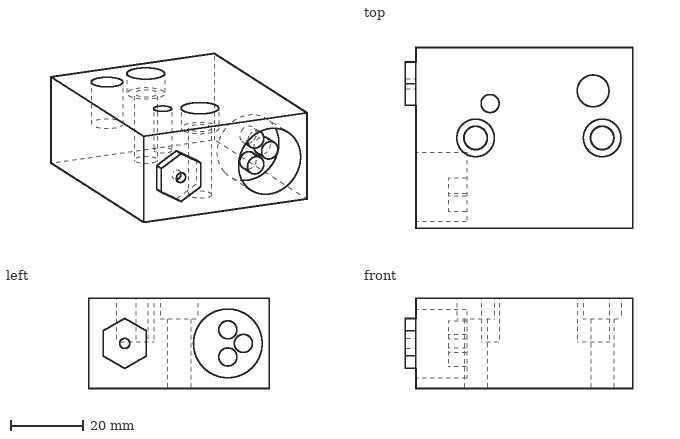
import cadquery as cq
import math

block_length = 60.0
block_width = 50.0
block_height = 25.0

plug_across_flats = 12.0
plug_thickness = 3.0
plug_y = 15.0
plug_hole_diameter = 2.8

socket_diameter = 19.0
socket_depth = 14.0
socket_y = -13.5
pin_diameter = 5.0
pin_length = 5.0
pin_pair_spacing = 7.5
side_pin_offset = 4.3

mount_count = 2
mount_spacing = 35.0
mount_first_x = 16.5
mount_diameter = 6.4
counterbore_diameter = 10.4
counterbore_depth = 5.7

port_depth = 12.0
small_port_diameter = 5.0
small_port_center = (20.5, 9.5)
large_port_diameter = 8.8
large_port_center = (49.0, 13.0)


def rod_along_x(diameter, start_x, length, y, z=0.0):
    """Cylinder running in +X from start_x."""
    return cq.Workplane("YZ", origin=(start_x, y, z)).circle(diameter / 2).extrude(length)


def rod_down_from_top(diameter, depth, center):
    """Cylinder running down from the top face, centred at an (x, y) point."""
    x, y = center
    return cq.Workplane("XY", origin=(x, y, block_height / 2)).circle(diameter / 2).extrude(-depth)


def add_plug(body):
    """Hexagon with corners pointing up and down, and a small hole in its middle."""
    across_corners = plug_across_flats / math.cos(math.radians(30))
    plug = (
        cq.Workplane("YZ", origin=(-plug_thickness, plug_y, 0))
        .transformed(rotate=(0, 0, 90))
        .polygon(6, across_corners)
        .extrude(plug_thickness)
    )
    hole = rod_along_x(plug_hole_diameter, -plug_thickness, plug_thickness, plug_y)
    return body.union(plug).cut(hole)


def add_socket(body):
    """Round blind socket with a pin above, below and to the -Y side of its axis."""
    body = body.cut(rod_along_x(socket_diameter, 0, socket_depth, socket_y))
    pin_centers = [
        (socket_y, pin_pair_spacing / 2),
        (socket_y, -pin_pair_spacing / 2),
        (socket_y - side_pin_offset, 0),
    ]
    for y, z in pin_centers:
        body = body.union(rod_along_x(pin_diameter, socket_depth - pin_length, pin_length, y, z))
    return body


def cut_mounting_holes(body):
    """Through holes with a counterbore at the top face."""
    for index in range(mount_count):
        center = (mount_first_x + index * mount_spacing, 0)
        body = body.cut(rod_down_from_top(mount_diameter, block_height, center))
        body = body.cut(rod_down_from_top(counterbore_diameter, counterbore_depth, center))
    return body


def cut_ports(body):
    """Flat-bottomed blind ports in the top face."""
    body = body.cut(rod_down_from_top(small_port_diameter, port_depth, small_port_center))
    return body.cut(rod_down_from_top(large_port_diameter, port_depth, large_port_center))


block = cq.Workplane("XY").box(block_length, block_width, block_height, centered=(False, True, True))
block = add_plug(block)
block = add_socket(block)
block = cut_mounting_holes(block)
result = cut_ports(block)